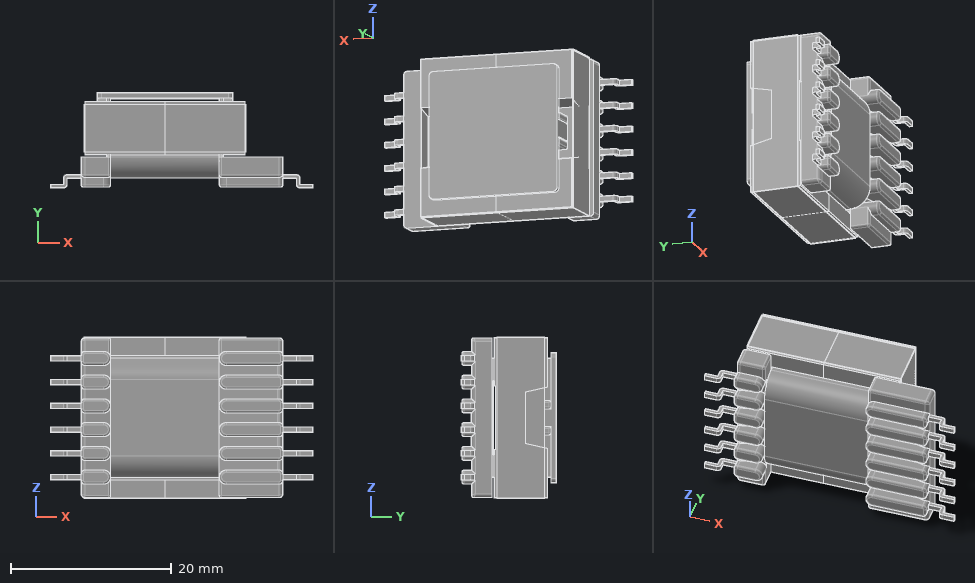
import cadquery as cq
import math


OVERALL_X = 32.73
OVERALL_Y = 11.9
OVERALL_Z = 20.2

CORE_HALF_X = 10.0
CORE_HALF_Y = 3.35
TAPE_THICKNESS = 0.1
CORE_HALF_Z = OVERALL_Z / 2 - TAPE_THICKNESS
WINDOW_HALF_Z = 7.75
LEG_HALF_Z = 3.95
LEG_FRONT_Y = -3.17
LEG_BACK_Y = 0.55
NOTCH_FLOOR_HALF_Z = 3.2
NOTCH_MOUTH_HALF_Z = 3.83

TAPE_HALF_Y = 2.98

FLANGE_INNER_X = 6.78
FLANGE_THICKNESS = 0.52
FLANGE_OUTER_X = FLANGE_INNER_X + FLANGE_THICKNESS
FLANGE_HALF_Z = 7.43
BORE_HALF_Z = 4.6
BORE_FRONT_Y = -3.45
TUBE_WALL = 0.33
FLANGE_CLEARANCE = 0.05
WINDOW_HALF_X = FLANGE_OUTER_X + FLANGE_CLEARANCE

BLOCK_BACK_Y = -3.57
BLOCK_FRONT_Y = -6.15
BLOCK_HALF_Z = 9.98
LEFT_BLOCK_OUTER_X = -10.47
RIGHT_BLOCK_OUTER_X = 14.73
OUTER_ROUND = 0.5
SMALL_ROUND = 0.3
LEFT_FLOOR_DROP = 0.75
LEFT_FLOOR_LEDGE = 0
RIGHT_FLOOR_DROP = 2.03
RIGHT_FLOOR_LEDGE = 0.2

PIN_COUNT = 6
PIN_SPAN = 14.83
PIN_PITCH = PIN_SPAN / (PIN_COUNT - 1)
PIN_PLACES_Z = [i * PIN_PITCH - PIN_SPAN / 2 for i in range(PIN_COUNT)]
RIB_FRONT_Y = -7.35
RIB_HALF_Z = 0.9

PIN_WIDTH = 0.7
PIN_THICKNESS = 0.45
PIN_FOOT_Y = -7.45
PIN_TOP_Y = -5.8
PIN_EMBED = 0.65
LEFT_PIN_BEND_X = -12.67
LEFT_PIN_END_X = -14.27
RIGHT_PIN_BEND_X = 16.85
RIGHT_PIN_END_X = LEFT_PIN_END_X + OVERALL_X

WINDING_FRONT_Y = -6.22
WINDING_BACK_Y = CORE_HALF_Y
WINDING_ROUND = 2.65

CAP_HALF_X = 8.48
CAP_HALF_Z = 8.12
CAP_BACK_Y = PIN_FOOT_Y + OVERALL_Y
CAP_FRONT_Y = 3.75
CAP_CORNER = 0.52
CAP_STEP = 0.1
TAB_HALF_Z = 1.1
LUG_WIDTH = 1.0
LUG_ROUND = 0.23


def box(x, y, z):
    """Box between two limits, in any order, along each axis."""
    size = [abs(limit[1] - limit[0]) for limit in (x, y, z)]
    centre = tuple((limit[0] + limit[1]) / 2 for limit in (x, y, z))
    return cq.Workplane("XY").box(*size).translate(centre)


def mirrored(half):
    """Limits at equal distances on both sides of zero."""
    return (-half, half)


def core_half(side):
    """E-shaped half: end wall, two outer legs and the flat middle leg."""
    outer = (0, side * CORE_HALF_X)
    half = box(outer, mirrored(CORE_HALF_Y), mirrored(CORE_HALF_Z))
    half = half.cut(box((0, side * WINDOW_HALF_X), mirrored(CORE_HALF_Y), mirrored(WINDOW_HALF_Z)))
    half = half.cut(box(outer, (LEG_FRONT_Y, -CORE_HALF_Y), mirrored(LEG_HALF_Z)))
    notch = (
        cq.Workplane("YZ")
        .polyline([
            (LEG_BACK_Y, -NOTCH_FLOOR_HALF_Z),
            (CORE_HALF_Y, -NOTCH_MOUTH_HALF_Z),
            (CORE_HALF_Y, NOTCH_MOUTH_HALF_Z),
            (LEG_BACK_Y, NOTCH_FLOOR_HALF_Z),
        ])
        .close()
        .extrude(side * CORE_HALF_X)
    )
    leg = box((0, side * WINDOW_HALF_X), (LEG_FRONT_Y, LEG_BACK_Y), mirrored(LEG_HALF_Z))
    return half.cut(notch).union(leg)


def make_tape():
    outside = box(
        mirrored(CORE_HALF_X + TAPE_THICKNESS),
        mirrored(TAPE_HALF_Y),
        mirrored(CORE_HALF_Z + TAPE_THICKNESS),
    )
    return outside.cut(box(mirrored(CORE_HALF_X), mirrored(TAPE_HALF_Y), mirrored(CORE_HALF_Z)))


def tube_outside():
    """Outer shape of the tube that carries the winding."""
    return box(
        mirrored(FLANGE_INNER_X),
        (BORE_FRONT_Y - TUBE_WALL, LEG_BACK_Y + TUBE_WALL),
        mirrored(BORE_HALF_Z + TUBE_WALL),
    )


def flange(side):
    plate = box(
        (side * FLANGE_INNER_X, side * FLANGE_OUTER_X),
        (BLOCK_BACK_Y, CAP_FRONT_Y),
        mirrored(FLANGE_HALF_Z),
    )
    inner_face = "<X" if side > 0 else ">X"
    return plate.faces(inner_face).edges("|Y").fillet(SMALL_ROUND)


def lugs(side):
    """Two lugs with rounded ends that stand in the notch of the core and reach the cap."""
    outer_end = ">X" if side > 0 else "<X"
    lug = box(
        (side * FLANGE_OUTER_X, side * CAP_HALF_X), (LEG_BACK_Y, CAP_FRONT_Y), mirrored(LUG_WIDTH / 2)
    )
    lug = lug.edges(f"(|Y and {outer_end}) or (|Z and >Y and {outer_end}) or (|X and >Y)").fillet(LUG_ROUND)
    centre_z = TAB_HALF_Z + LUG_WIDTH / 2
    return lug.translate((0, 0, -centre_z)).union(lug.translate((0, 0, centre_z)))


def rib(inner_x, outer_x, floor_y):
    """Rib along X with a round inner end and rounded outer corners, centred on Z = 0."""
    side = 1 if outer_x > inner_x else -1
    body = box((inner_x, outer_x), (floor_y, RIB_FRONT_Y), mirrored(RIB_HALF_Z))
    outer_end = ">X" if side > 0 else "<X"
    body = body.faces(outer_end).edges("|Y").fillet(OUTER_ROUND)
    nose = (
        cq.Workplane("XZ", origin=(inner_x + side * RIB_HALF_Z, floor_y, 0))
        .circle(RIB_HALF_Z)
        .extrude(floor_y - RIB_FRONT_Y)
    )
    straight = body.cut(box(
        (inner_x, inner_x + side * RIB_HALF_Z), (floor_y, RIB_FRONT_Y), mirrored(RIB_HALF_Z)
    ))
    return straight.union(nose).faces("<Y").edges().fillet(SMALL_ROUND)


def pin(block_x, bend_x, end_x):
    """Gull-wing pin: out of the block, a step toward -Y, then the soldering foot."""
    side = 1 if end_x > block_x else -1
    wall_x = bend_x - side * PIN_THICKNESS
    upper_y = PIN_TOP_Y - PIN_THICKNESS
    foot_top_y = PIN_FOOT_Y + PIN_THICKNESS
    start_x = block_x - side * PIN_EMBED
    diagonal = PIN_THICKNESS * math.sqrt(0.5)
    return (
        cq.Workplane("XY", origin=(0, 0, -PIN_WIDTH / 2))
        .moveTo(start_x, PIN_TOP_Y)
        .lineTo(wall_x, PIN_TOP_Y)
        .threePointArc((wall_x + side * diagonal, upper_y + diagonal), (bend_x, upper_y))
        .lineTo(bend_x, foot_top_y)
        .lineTo(end_x, foot_top_y)
        .lineTo(end_x, PIN_FOOT_Y)
        .lineTo(bend_x, PIN_FOOT_Y)
        .threePointArc((bend_x - side * diagonal, foot_top_y - diagonal), (wall_x, foot_top_y))
        .lineTo(wall_x, upper_y)
        .lineTo(start_x, upper_y)
        .close()
        .extrude(PIN_WIDTH)
    )


def terminal_block(outer_x, floor_drop, floor_ledge, bend_x, end_x):
    """Block with ribs and pins; the floor between the ribs falls toward the winding."""
    side = 1 if outer_x > 0 else -1
    inner_x = side * FLANGE_INNER_X
    inner_end, outer_end = ("<X", ">X") if side > 0 else (">X", "<X")
    block = box((inner_x, outer_x), (BLOCK_BACK_Y, BLOCK_FRONT_Y), mirrored(BLOCK_HALF_Z))
    block = block.faces(outer_end).edges("|Y or <Y").fillet(OUTER_ROUND)
    block = block.faces(inner_end).edges("|Y").fillet(SMALL_ROUND)
    block = block.faces("<Y").edges("not " + outer_end).fillet(SMALL_ROUND)

    floor_y = BLOCK_FRONT_Y + floor_drop
    floor_start_x = outer_x - side * (OUTER_ROUND + floor_ledge)
    floor_cut = (
        cq.Workplane("XY", origin=(0, 0, -PIN_SPAN / 2))
        .polyline([(floor_start_x, BLOCK_FRONT_Y), (inner_x, BLOCK_FRONT_Y), (inner_x, floor_y)])
        .close()
        .extrude(PIN_SPAN)
    )
    block = block.cut(floor_cut)
    for z in PIN_PLACES_Z:
        block = block.union(rib(inner_x, outer_x, floor_y).translate((0, 0, z)))
        block = block.union(pin(outer_x, bend_x, end_x).translate((0, 0, z)))
    return block


def make_bobbin():
    body = tube_outside()
    for side in (-1, 1):
        body = body.union(flange(side)).union(lugs(side))
    left_block = terminal_block(
        LEFT_BLOCK_OUTER_X, LEFT_FLOOR_DROP, LEFT_FLOOR_LEDGE, LEFT_PIN_BEND_X, LEFT_PIN_END_X
    )
    right_block = terminal_block(
        RIGHT_BLOCK_OUTER_X, RIGHT_FLOOR_DROP, RIGHT_FLOOR_LEDGE, RIGHT_PIN_BEND_X, RIGHT_PIN_END_X
    )
    body = body.union(left_block).union(right_block)
    bore = box(mirrored(FLANGE_OUTER_X), (BORE_FRONT_Y, LEG_BACK_Y), mirrored(BORE_HALF_Z))
    return body.cut(bore)


def make_winding():
    coil = box(mirrored(FLANGE_INNER_X), (WINDING_FRONT_Y, WINDING_BACK_Y), mirrored(FLANGE_HALF_Z))
    return coil.edges("|X").fillet(WINDING_ROUND).cut(tube_outside())


def cap_tab(side):
    """Tab between the two lugs of one bobbin flange."""
    return box(
        (side * FLANGE_OUTER_X, side * CAP_HALF_X), (LEG_BACK_Y, CAP_FRONT_Y), mirrored(TAB_HALF_Z)
    )


def make_cap():
    plate = box(mirrored(CAP_HALF_X), (CAP_FRONT_Y, CAP_BACK_Y), mirrored(CAP_HALF_Z))
    plate = plate.edges("|Y").fillet(CAP_CORNER)
    step = box(
        mirrored(FLANGE_INNER_X), (CAP_FRONT_Y - CAP_STEP, CAP_FRONT_Y), mirrored(FLANGE_HALF_Z)
    )
    return plate.union(step).union(cap_tab(-1)).union(cap_tab(1))


core_halves = [core_half(side) for side in (-1, 1)]
tape = make_tape()
bobbin = make_bobbin()
winding = make_winding()
cap = make_cap()

result = cq.Compound.makeCompound([
    *[half.val() for half in core_halves],
    tape.val(),
    bobbin.val(),
    winding.val(),
    cap.val(),
])